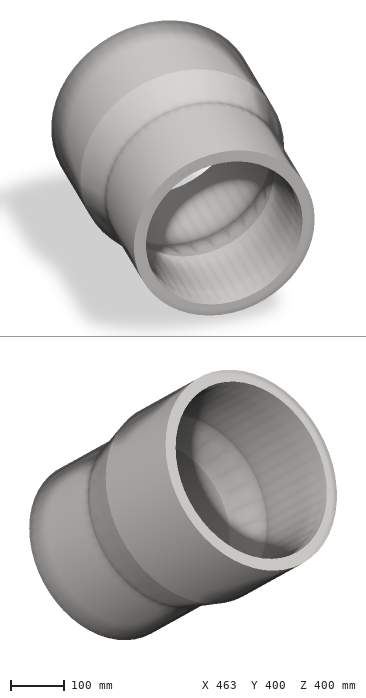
import cadquery as cq

total_length = 463.0
wide_length = 190.0
narrow_length = 186.0

wide_outer_diameter = 400.0
wide_inner_diameter = 353.0
narrow_outer_diameter = 355.0
narrow_inner_diameter = 307.5

wide_end = -total_length / 2
narrow_end = total_length / 2
taper_start = wide_end + wide_length
taper_end = narrow_end - narrow_length


def stepped_solid(wide_diameter, narrow_diameter):
    """Wide cylinder, cone and narrow cylinder revolved about the X axis."""
    wide_radius = wide_diameter / 2
    narrow_radius = narrow_diameter / 2
    half_profile = [
        (wide_end, 0),
        (wide_end, wide_radius),
        (taper_start, wide_radius),
        (taper_end, narrow_radius),
        (narrow_end, narrow_radius),
        (narrow_end, 0),
    ]
    profile = cq.Workplane("XY").polyline(half_profile).close()
    return profile.revolve(360, (0, 0, 0), (1, 0, 0))


outer_body = stepped_solid(wide_outer_diameter, narrow_outer_diameter)
bore = stepped_solid(wide_inner_diameter, narrow_inner_diameter)
result = outer_body.cut(bore)